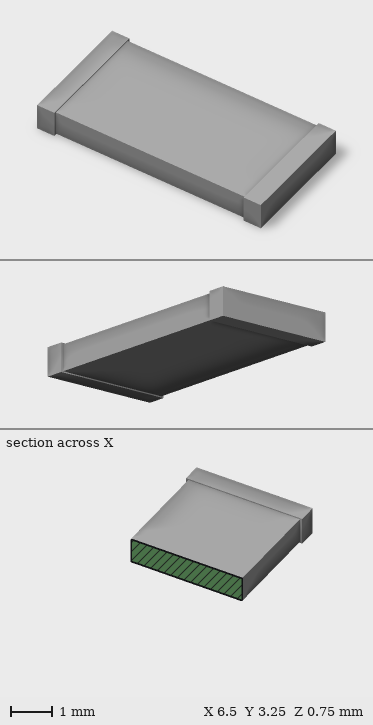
import cadquery as cq

length = 6.5
width = 3.25
height = 0.75

cap_length = 0.5
side_step = 0.065
face_step = 0.03


def make_body():
    """Plain slab between the two end caps."""
    return cq.Workplane("XY").box(
        length - 2 * cap_length, width - 2 * side_step, height - 2 * face_step
    )


def make_cap(side):
    """Rectangular end cap; side is -1 or +1 along X."""
    center_x = side * (length - cap_length) / 2
    return cq.Workplane("XY").box(cap_length, width, height).translate((center_x, 0, 0))


result = make_body()
for side in (-1, 1):
    result = result.union(make_cap(side))